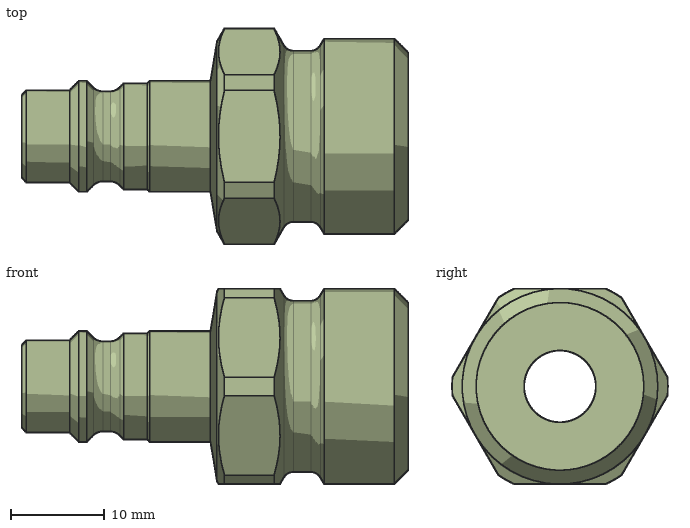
import cadquery as cq
import math

length = 41.5
across_flats = 21.0
hex_corner_dia = 23.2
bore_dia = 7.68

tip_radius = 4.45
plug_radius = 5.0
tip_chamfer_length = 0.5
collar_start = 5.15
collar_radius = 5.98
collar_flat_start = collar_start + collar_radius - plug_radius
collar_flat_end = 6.97

groove_radius = 4.85
groove_fillet = 1.4
groove_wall_angle = 45.0
groove_floor_end = 9.5
land_radius = 5.73
land_end = 13.5
shank_radius = collar_radius
land_step = shank_radius - land_radius

hex_start = 20.25
hex_face_x = 20.95
hex_face_radius = 10.2
hex_corner_radius = hex_corner_dia / 2
hex_bevel_angle = 60.0
hex_bevel_slope = math.tan(math.radians(hex_bevel_angle))
hex_corner_start = hex_face_x + (hex_corner_radius - hex_face_radius) / hex_bevel_slope
hex_corner_end = 27.1

neck_radius = 9.2
neck_fillet = 1.15
neck_floor_end = 31.05
body_radius = across_flats / 2
body_chamfer = 1.5


def wall_run(floor_radius, top_radius, fillet, angle):
    """Axial length of a conical wall and its tangent floor fillet."""
    a = math.radians(angle)
    wall_height = top_radius - floor_radius - fillet * (1 - math.cos(a))
    return wall_height / math.tan(a) + fillet * math.sin(a)


def fillet_points(floor_x, floor_radius, fillet, angle, side):
    """Points on a floor fillet from floor to wall; side is -1 towards the tip, 1 away from it."""
    angles = [math.radians(angle * share) for share in (0, 0.5, 1)]
    return [
        (floor_x + side * fillet * math.sin(a), floor_radius + fillet * (1 - math.cos(a)))
        for a in angles
    ]


def add_recess(profile, floor_start, floor_end, floor_radius, fillet, angle, far_radius):
    """Continue the profile down one wall, along the floor and up the other wall."""
    floor_in, middle_in, wall_in = fillet_points(floor_start, floor_radius, fillet, angle, -1)
    floor_out, middle_out, wall_out = fillet_points(floor_end, floor_radius, fillet, angle, 1)
    far_x = floor_end + wall_run(floor_radius, far_radius, fillet, angle)
    return (
        profile.lineTo(*wall_in)
        .threePointArc(middle_in, floor_in)
        .lineTo(*floor_out)
        .threePointArc(middle_out, wall_out)
        .lineTo(far_x, far_radius)
    )


def turned_blank():
    groove_floor_start = collar_flat_end + wall_run(
        groove_radius, collar_radius, groove_fillet, groove_wall_angle
    )
    neck_floor_start = hex_corner_end + wall_run(
        neck_radius, hex_corner_radius, neck_fillet, hex_bevel_angle
    )
    profile = (
        cq.Workplane("XY")
        .moveTo(0, 0)
        .lineTo(0, tip_radius)
        .lineTo(tip_chamfer_length, plug_radius)
        .lineTo(collar_start, plug_radius)
        .lineTo(collar_flat_start, collar_radius)
        .lineTo(collar_flat_end, collar_radius)
    )
    profile = add_recess(
        profile, groove_floor_start, groove_floor_end, groove_radius,
        groove_fillet, groove_wall_angle, land_radius,
    )
    profile = (
        profile.lineTo(land_end, land_radius)
        .lineTo(land_end + land_step, shank_radius)
        .lineTo(hex_start, shank_radius)
        .lineTo(hex_face_x, hex_face_radius)
        .lineTo(hex_corner_start, hex_corner_radius)
        .lineTo(hex_corner_end, hex_corner_radius)
    )
    profile = add_recess(
        profile, neck_floor_start, neck_floor_end, neck_radius,
        neck_fillet, hex_bevel_angle, body_radius,
    )
    profile = (
        profile.lineTo(length - body_chamfer, body_radius)
        .lineTo(length, body_radius - body_chamfer)
        .lineTo(length, 0)
        .close()
    )
    return profile.revolve(360, (0, 0, 0), (1, 0, 0))


def hex_envelope():
    """Full-length hexagonal bar, flats facing +Z and -Z, that trims only the hex section."""
    point_to_point = across_flats / math.cos(math.radians(30))
    return cq.Workplane("YZ").polygon(6, point_to_point).extrude(length)


def bore():
    return cq.Workplane("YZ").circle(bore_dia / 2).extrude(length)


result = turned_blank().intersect(hex_envelope()).cut(bore())